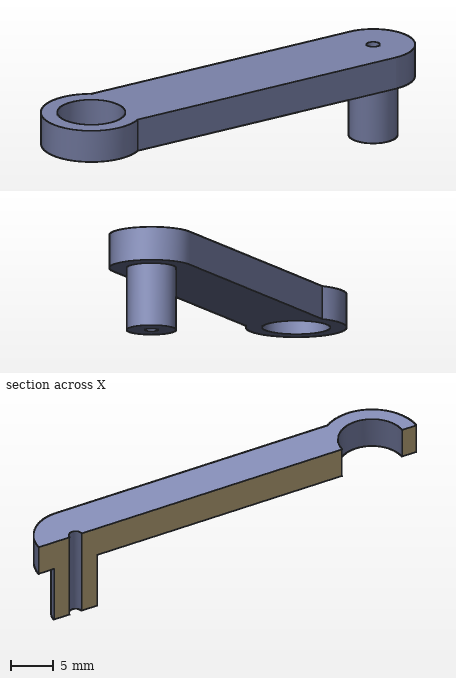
import cadquery as cq

center_distance = 40.0
arm_thickness = 4.0
arm_width = 10.0
ring_diameter = 12.0
bore_diameter = 8.1
pin_diameter = 5.9
pin_length = 7.5
pin_hole_diameter = 1.6



def make_arm():
    """Flat bar from the bore axis to a full round end centred on the pin axis."""
    half_width = arm_width / 2
    return (
        cq.Workplane("XY")
        .moveTo(-half_width, 0)
        .lineTo(half_width, 0)
        .lineTo(half_width, center_distance)
        .threePointArc((0, center_distance + half_width), (-half_width, center_distance))
        .close()
        .extrude(arm_thickness)
    )


def make_ring_boss():
    """Solid disc around the bore axis, slightly wider than the arm."""
    return cq.Workplane("XY").circle(ring_diameter / 2).extrude(arm_thickness)


def make_pin():
    """Round pin hanging below the rounded end of the arm."""
    return (
        cq.Workplane("XY")
        .center(0, center_distance)
        .circle(pin_diameter / 2)
        .extrude(-pin_length)
    )


def make_bore():
    """Cutter for the bore through the ring."""
    return cq.Workplane("XY").circle(bore_diameter / 2).extrude(arm_thickness)


def make_pin_hole():
    """Cutter for the small hole along the full length of the pin and arm."""
    return (
        cq.Workplane("XY", origin=(0, center_distance, -pin_length))
        .circle(pin_hole_diameter / 2)
        .extrude(pin_length + arm_thickness)
    )


body = make_arm().union(make_ring_boss()).union(make_pin())
result = body.cut(make_bore()).cut(make_pin_hole())